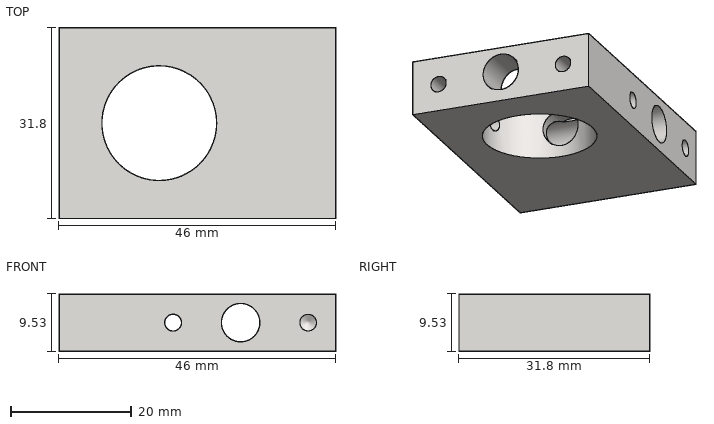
import cadquery as cq
import math

length, width, height = 46.0, 31.75, 9.53
mid_height = height / 2

bore_diameter = 19.05
bore_x = 16.65

large_diameter = 6.35
cross_hole_x = 30.2
end_hole_z = 5.15

small_diameter = 2.75
small_spacing = 11.25
blind_depth = 9.2
drill_tip_angle = 118.0


def drill_hole(diameter, depth, start, direction):
    """Straight flat-ended cylinder to cut away."""
    return cq.Solid.makeCylinder(diameter / 2, depth, cq.Vector(*start), cq.Vector(*direction))


def blind_hole(start, direction):
    """Small hole with a conical drill tip beyond its straight depth."""
    radius = small_diameter / 2
    tip_length = radius / math.tan(math.radians(drill_tip_angle / 2))
    axis = cq.Vector(*direction)
    tip_start = cq.Vector(*start) + axis * blind_depth
    tip = cq.Solid.makeCone(radius, 0, tip_length, tip_start, axis)
    return drill_hole(small_diameter, blind_depth, start, direction).fuse(tip)


into_front = (0, 1, 0)
into_end = (1, 0, 0)
front_y = -width / 2

block = cq.Workplane("XY").box(length, width, height, centered=(False, True, False))

block = block.cut(cq.Workplane(drill_hole(bore_diameter, height, (bore_x, 0, 0), (0, 0, 1))))

large_start = (cross_hole_x, front_y, mid_height)
small_start = (cross_hole_x - small_spacing, front_y, mid_height)
blind_start = (cross_hole_x + small_spacing, front_y, mid_height)
block = block.cut(cq.Workplane(drill_hole(large_diameter, width, large_start, into_front)))
block = block.cut(cq.Workplane(drill_hole(small_diameter, width, small_start, into_front)))
block = block.cut(cq.Workplane(blind_hole(blind_start, into_front)))

end_hole = drill_hole(large_diameter, cross_hole_x, (0, 0, end_hole_z), into_end)
block = block.cut(cq.Workplane(end_hole))

for side in (-1, 1):
    block = block.cut(cq.Workplane(blind_hole((0, side * small_spacing, mid_height), into_end)))

result = block